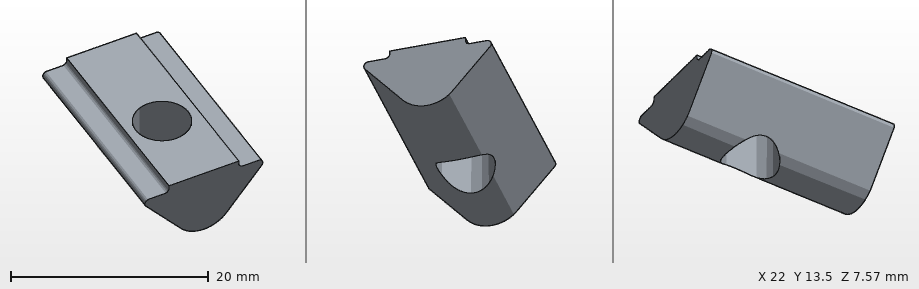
import cadquery as cq
import math

length = 22.0
width = 13.5
height = 7.57

guide_width = 8.0
guide_height = 0.85
neck_radius = 0.5

tip_radius = 0.5
flank_angle = math.radians(49.5)

hole_diameter = 6.0
hole_offset = 2.0

guide_y = guide_width / 2
shoulder_z = -guide_height
tip_y = width / 2 - tip_radius
tip_z = shoulder_z - tip_radius

normal_y = math.sin(flank_angle)
normal_z = -math.cos(flank_angle)

flank_reach = tip_y * normal_y + (tip_z + height) * normal_z + tip_radius
keel_radius = flank_reach / (1 + normal_z)
keel_z = keel_radius - height


def mirrored(point):
    """The same section point on the -Y side."""
    return (-point[0], point[1])


def make_bar():
    """Extrude the nut section along X, centred on mid-length."""
    neck_inset = neck_radius * (1 - math.sqrt(0.5))
    strip_top = (guide_y, 0)
    neck_top = (guide_y, shoulder_z + neck_radius)
    neck_middle = (guide_y + neck_inset, shoulder_z + neck_inset)
    neck_end = (guide_y + neck_radius, shoulder_z)
    tip_start = (tip_y, shoulder_z)
    tip_middle = (tip_y + tip_radius, tip_z)
    tip_end = (tip_y + tip_radius * normal_y, tip_z + tip_radius * normal_z)
    keel_start = (keel_radius * normal_y, keel_z + keel_radius * normal_z)
    keel_bottom = (0, -height)

    outline = (
        cq.Workplane("YZ")
        .moveTo(*mirrored(strip_top))
        .lineTo(*strip_top)
        .lineTo(*neck_top)
        .threePointArc(neck_middle, neck_end)
        .lineTo(*tip_start)
        .threePointArc(tip_middle, tip_end)
        .lineTo(*keel_start)
        .threePointArc(keel_bottom, mirrored(keel_start))
        .lineTo(*mirrored(tip_end))
        .threePointArc(mirrored(tip_middle), mirrored(tip_start))
        .lineTo(*mirrored(neck_end))
        .threePointArc(mirrored(neck_middle), mirrored(neck_top))
        .close()
    )
    return outline.extrude(length / 2, both=True)


def make_hole():
    """Cylinder that runs from the strip down through the keel."""
    return cq.Workplane("XY").center(hole_offset, 0).circle(hole_diameter / 2).extrude(-height)


result = make_bar().cut(make_hole())